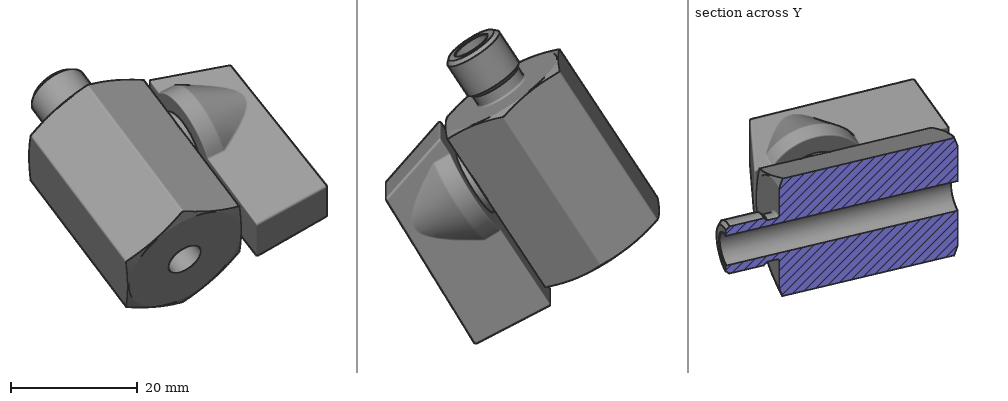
import cadquery as cq
import math

body_start = 9.0
body_length = 30.1
body_end = body_start + body_length
across_flats = 21.0
across_corners = across_flats / math.cos(math.radians(30))
hex_edge_radius = 0.5
end_face_radius = 10.3
end_chamfer_angle = 18.0

spigot_radius = 4.85
spigot_chamfer = 0.65
shoulder_start = 6.42
neck_start = 7.0
neck_radius = 4.3
neck_fillet = 0.38
bore_radius = 3.0
bore_chamfer = 0.13

stem_x = 19.53
stem_radius = 5.5
hub_radius = 8.8
hub_cone_start = 14.55
hub_cone_half_angle = 27.2
hub_tip_radius = 3.8
hub_blend_radius = 0.38
hub_shoulder_radius = 0.55

handle_base = 11.6
handle_base_left = 9.1
handle_right = 42.0
handle_right_lean = math.radians(3.5)
handle_top_left = (13.1, 24.3)
handle_top_right_height = 25.25
handle_half_width = 4.9
handle_draft = 1.0
handle_edge_radius = 0.4
base_edge_radius = 0.25

handle_base_right = handle_right + base_edge_radius * (
    math.tan(handle_right_lean) + 1 / math.cos(handle_right_lean) - 1
)
handle_top_right = (
    handle_base_right - (handle_top_right_height - handle_base) * math.tan(handle_right_lean),
    handle_top_right_height,
)


def make_body():
    hexagon = (
        cq.Workplane("YZ", origin=(body_start, 0, 0))
        .transformed(rotate=(0, 0, 90))
        .polygon(6, across_corners)
        .extrude(body_length)
        .edges("|X")
        .fillet(hex_edge_radius)
    )
    corner_radius = across_corners / 2
    setback = (corner_radius - end_face_radius) * math.tan(math.radians(end_chamfer_angle))
    turned_envelope = (
        cq.Workplane("XY")
        .moveTo(body_start, 0)
        .lineTo(body_start, end_face_radius)
        .lineTo(body_start + setback, corner_radius)
        .lineTo(body_end - setback, corner_radius)
        .lineTo(body_end, end_face_radius)
        .lineTo(body_end, 0)
        .close()
        .revolve(360, (0, 0, 0), (1, 0, 0))
    )
    return hexagon.intersect(turned_envelope)


def make_spigot():
    fillet_middle = neck_fillet * math.sqrt(0.5)
    return (
        cq.Workplane("XY")
        .lineTo(0, spigot_radius - spigot_chamfer)
        .lineTo(spigot_chamfer, spigot_radius)
        .lineTo(shoulder_start, spigot_radius)
        .lineTo(neck_start, neck_radius)
        .lineTo(body_start - neck_fillet, neck_radius)
        .threePointArc(
            (body_start - neck_fillet + fillet_middle, neck_radius + neck_fillet - fillet_middle),
            (body_start, neck_radius + neck_fillet),
        )
        .lineTo(body_start, 0)
        .close()
        .revolve(360, (0, 0, 0), (1, 0, 0))
    )


def make_bore():
    mouth_radius = bore_radius + bore_chamfer
    return (
        cq.Workplane("XY")
        .lineTo(0, mouth_radius)
        .lineTo(bore_chamfer, bore_radius)
        .lineTo(body_end, bore_radius)
        .lineTo(body_end, 0)
        .close()
        .revolve(360, (0, 0, 0), (1, 0, 0))
    )


def make_stem():
    stem_bottom = across_flats / 2
    return (
        cq.Workplane("XZ", origin=(stem_x, stem_bottom, 0))
        .circle(stem_radius)
        .extrude(stem_bottom - handle_base)
    )


def make_hub():
    cone_length = (hub_radius - hub_tip_radius) / math.tan(math.radians(hub_cone_half_angle))
    hub = (
        cq.Workplane("XZ", origin=(stem_x, handle_base, 0))
        .circle(hub_radius)
        .extrude(handle_base - hub_cone_start)
    )
    cone = cq.Solid.makeCone(
        hub_radius,
        hub_tip_radius,
        cone_length,
        pnt=cq.Vector(stem_x, hub_cone_start, 0),
        dir=cq.Vector(0, 1, 0),
    )
    hub = hub.union(cq.Workplane(cone))
    shoulder = cq.selectors.NearestToPointSelector((stem_x, hub_cone_start, 0))
    return hub.edges("%CIRCLE").edges(shoulder).fillet(hub_shoulder_radius)


def drafted_half_width(x, y):
    travel = (x - handle_base_left) + (y - handle_base)
    return handle_half_width - travel * math.tan(math.radians(handle_draft))


def make_handle():
    outline = [
        (handle_base_left, handle_base),
        (handle_base_right, handle_base),
        handle_top_right,
        handle_top_left,
    ]
    lower = [cq.Vector(x, y, -drafted_half_width(x, y)) for x, y in outline]
    upper = [cq.Vector(x, y, drafted_half_width(x, y)) for x, y in outline]
    loops = [lower, upper]
    for i in range(len(outline)):
        j = (i + 1) % len(outline)
        loops.append([lower[i], lower[j], upper[j], upper[i]])
    faces = [cq.Face.makeFromWires(cq.Wire.makePolygon(loop, close=True)) for loop in loops]
    solid = cq.Solid.makeSolid(cq.Shell.makeShell(faces))
    return cq.Workplane(solid).faces("not <Y").edges("not <Y").fillet(handle_edge_radius)


def join_hub_to_handle():
    crease_reach = math.sqrt(hub_radius**2 - handle_half_width**2)
    margin = handle_edge_radius
    creases = cq.selectors.BoxSelector(
        (stem_x - crease_reach - margin, handle_base + margin, -handle_half_width),
        (stem_x + crease_reach + margin, handle_top_left[1] - 2 * margin, handle_half_width),
    )
    return (
        make_handle()
        .union(make_hub())
        .edges(creases)
        .fillet(hub_blend_radius)
        .faces("<Y")
        .edges()
        .fillet(base_edge_radius)
    )


handle = join_hub_to_handle()

result = make_body().union(make_spigot()).union(make_stem()).union(handle).cut(make_bore())